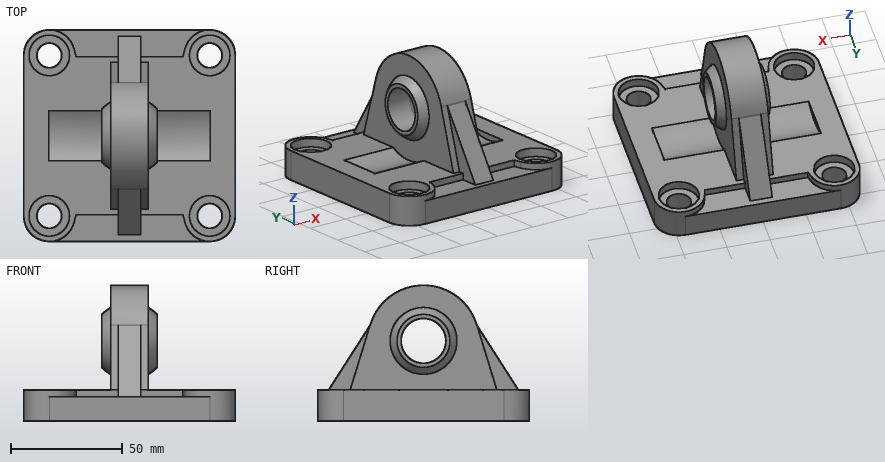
import math
import cadquery as cq

base_side = 95.0
base_height = 14.0
hole_pitch = 72.0
hole_offset = hole_pitch / 2
corner_radius = base_side / 2 - hole_offset
bolt_diameter = 11.0
counterbore_diameter = 18.2
counterbore_depth = 4.0

ledge_drop = 3.0
ledge_height = base_height - ledge_drop
ledge_inner_y = 35.5
boss_flank_angle = 15.0

trough_diameter = 45.0
trough_length = 72.6
trough_depth = 3.0

eye_axis_height = 36.0
eye_radius = 25.0
eye_thickness = 17.0
eye_foot_half_width = 32.9

ball_diameter = 34.5
ball_width = 25.0
bore_diameter = 20.0

rib_thickness = 10.2
rib_foot_y = 44.5
rib_top_height = 43.0


def x_cylinder(diameter, length, axis_height):
    """Cylinder along X, centred on the part, at the given axis height."""
    return (
        cq.Workplane("YZ")
        .center(0, axis_height)
        .circle(diameter / 2)
        .extrude(length / 2, both=True)
    )


def make_ledge_cutter():
    """Material removed above the +Y ledge, bounded by the two rounded corner bosses.

    Each boss is an arc about its hole that ends in a straight flank tangent to it.
    """
    outer_y = base_side / 2
    flank_angle = math.radians(boss_flank_angle)
    arc_middle_angle = (flank_angle + math.pi / 2) / 2

    def boss_point(angle):
        x = hole_offset - corner_radius * math.cos(angle)
        y = hole_offset + corner_radius * math.sin(angle)
        return x, y

    flank_x, flank_y = boss_point(flank_angle)
    middle_x, middle_y = boss_point(arc_middle_angle)
    inner_x = flank_x - (flank_y - ledge_inner_y) * math.tan(flank_angle)
    return (
        cq.Workplane("XY", origin=(0, 0, ledge_height))
        .moveTo(-hole_offset, outer_y)
        .threePointArc((-middle_x, middle_y), (-flank_x, flank_y))
        .lineTo(-inner_x, ledge_inner_y)
        .lineTo(inner_x, ledge_inner_y)
        .lineTo(flank_x, flank_y)
        .threePointArc((middle_x, middle_y), (hole_offset, outer_y))
        .close()
        .extrude(ledge_drop)
    )


def make_counterbored_hole_cutter(x, y):
    """Vertical through hole with a counterbore from the top face."""
    hole = cq.Workplane("XY", origin=(x, y, 0)).circle(bolt_diameter / 2).extrude(base_height)
    counterbore = (
        cq.Workplane("XY", origin=(x, y, base_height))
        .circle(counterbore_diameter / 2)
        .extrude(-counterbore_depth)
    )
    return hole.union(counterbore)


def make_base():
    """Square plate with ledges, trough and four counterbored corner holes."""
    base = (
        cq.Workplane("XY")
        .box(base_side, base_side, base_height, centered=(True, True, False))
        .edges("|Z")
        .fillet(corner_radius)
    )
    ledge_cutter = make_ledge_cutter()
    base = base.cut(ledge_cutter).cut(ledge_cutter.mirror("XZ"))
    trough_axis_height = base_height - trough_depth + trough_diameter / 2
    base = base.cut(x_cylinder(trough_diameter, trough_length, trough_axis_height))
    for x in (-hole_offset, hole_offset):
        for y in (-hole_offset, hole_offset):
            base = base.cut(make_counterbored_hole_cutter(x, y))
    return base


def make_eye():
    """Plate with a round top and flanks tangent to it, rooted at the depth of the trough floor."""
    foot_drop = eye_axis_height - base_height
    foot_distance = math.hypot(eye_foot_half_width, foot_drop)
    tangent_angle = math.acos(eye_radius / foot_distance) - math.atan2(foot_drop, eye_foot_half_width)
    tangent_y = eye_radius * math.cos(tangent_angle)
    tangent_z = eye_axis_height + eye_radius * math.sin(tangent_angle)
    root_height = base_height - trough_depth
    return (
        cq.Workplane("YZ")
        .moveTo(-eye_foot_half_width, root_height)
        .lineTo(-eye_foot_half_width, base_height)
        .lineTo(-tangent_y, tangent_z)
        .threePointArc((0, eye_axis_height + eye_radius), (tangent_y, tangent_z))
        .lineTo(eye_foot_half_width, base_height)
        .lineTo(eye_foot_half_width, root_height)
        .close()
        .extrude(eye_thickness / 2, both=True)
    )


def make_ribs():
    """Both sloping ribs as one trapezoidal web that passes through the eye."""
    rib_top_y = math.sqrt(eye_radius**2 - (rib_top_height - eye_axis_height) ** 2)
    return (
        cq.Workplane("YZ")
        .moveTo(-rib_foot_y, ledge_height)
        .lineTo(-rib_top_y, rib_top_height)
        .lineTo(rib_top_y, rib_top_height)
        .lineTo(rib_foot_y, ledge_height)
        .close()
        .extrude(rib_thickness / 2, both=True)
    )


def make_ball():
    """Sphere truncated to the bearing width, turned about the eye axis."""
    half_width = ball_width / 2
    ball_radius = ball_diameter / 2
    end_radius = math.sqrt(ball_radius**2 - half_width**2)
    ball = (
        cq.Workplane("XY")
        .moveTo(-half_width, 0)
        .lineTo(-half_width, end_radius)
        .threePointArc((0, ball_radius), (half_width, end_radius))
        .lineTo(half_width, 0)
        .close()
        .revolve(360, (0, 0, 0), (1, 0, 0))
    )
    return ball.translate((0, 0, eye_axis_height))


body = make_base().union(make_eye()).union(make_ribs()).union(make_ball())
result = body.cut(x_cylinder(bore_diameter, ball_width, eye_axis_height))